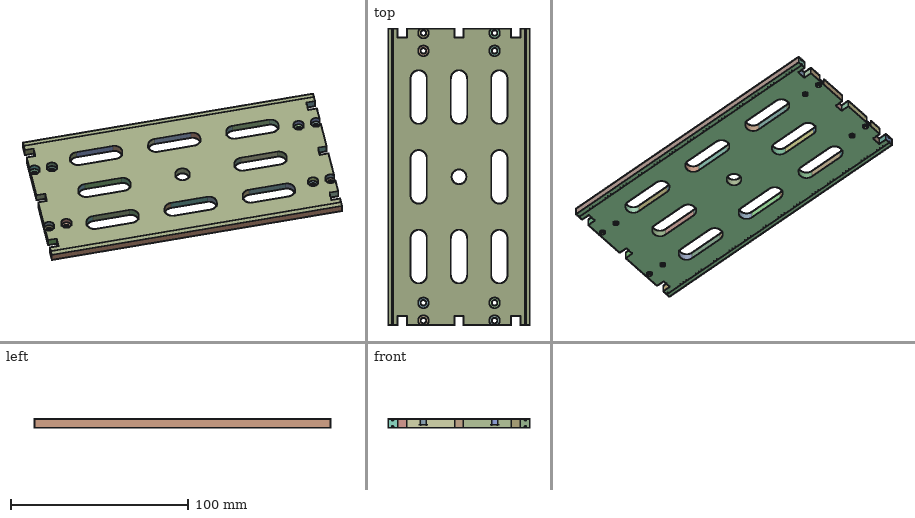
import cadquery as cq

width = 80.0
length = 167.2
thickness = 5.0

notch_depth = 5.0
centre_notch_width = 5.0
side_notch_width = 5.2
side_notch_margin = 5.4

slot_width = 9.0
slot_length = 30.1
slot_pitch_x = 22.7
slot_pitch_y = 45.0
centre_hole_diameter = 8.2

screw_diameter = 3.0
head_diameter = 6.0
head_depth = 3.3
screw_x = 20.0
screw_end_distance = 2.5
screw_pitch = 10.0

bore_diameter = 0.8
bore_inset_x = 2.5
bore_inset_z = 0.5


def make_plate():
    return cq.Workplane("XY").box(width, length, thickness, centered=(True, True, False))


def cut_end_notches(body):
    side_notch_x = width / 2 - side_notch_margin - side_notch_width / 2
    notches = [
        (-side_notch_x, side_notch_width),
        (0, centre_notch_width),
        (side_notch_x, side_notch_width),
    ]
    for x, notch_width in notches:
        for end in (-1, 1):
            cutter = (
                cq.Workplane("XY")
                .center(x, end * length / 2)
                .rect(notch_width, 2 * notch_depth)
                .extrude(thickness)
            )
            body = body.cut(cutter)
    return body


def cut_slots_and_centre_hole(body):
    slot_centres = [
        (column * slot_pitch_x, row * slot_pitch_y)
        for column in (-1, 0, 1)
        for row in (-1, 0, 1)
        if (column, row) != (0, 0)
    ]
    slots = (
        cq.Workplane("XY")
        .pushPoints(slot_centres)
        .slot2D(slot_length, slot_width, 90)
        .extrude(thickness)
    )
    centre_hole = cq.Workplane("XY").circle(centre_hole_diameter / 2).extrude(thickness)
    return body.cut(slots).cut(centre_hole)


def cut_screw_holes(body):
    outer_y = length / 2 - screw_end_distance
    inner_y = outer_y - screw_pitch
    centres = [
        (side * screw_x, end * y)
        for side in (-1, 1)
        for end in (-1, 1)
        for y in (inner_y, outer_y)
    ]
    shanks = cq.Workplane("XY").pushPoints(centres).circle(screw_diameter / 2).extrude(thickness)
    heads = (
        cq.Workplane("XY", origin=(0, 0, thickness - head_depth))
        .pushPoints(centres)
        .circle(head_diameter / 2)
        .extrude(head_depth)
    )
    return body.cut(shanks).cut(heads)


def cut_edge_bores(body):
    bore_x = width / 2 - bore_inset_x
    centres = [(x, z) for x in (-bore_x, bore_x) for z in (bore_inset_z, thickness - bore_inset_z)]
    bores = (
        cq.Workplane("XZ", origin=(0, length / 2, 0))
        .pushPoints(centres)
        .circle(bore_diameter / 2)
        .extrude(length)
    )
    return body.cut(bores)


plate = make_plate()
plate = cut_end_notches(plate)
plate = cut_slots_and_centre_hole(plate)
plate = cut_screw_holes(plate)
result = cut_edge_bores(plate)